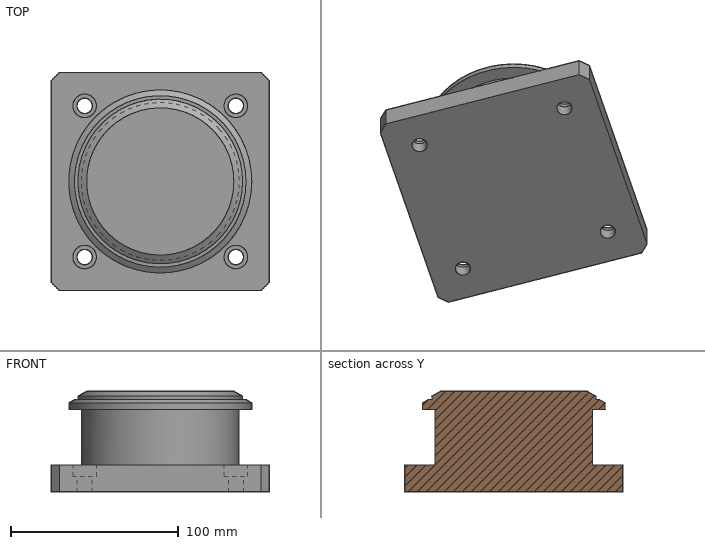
import cadquery as cq
import math

PLATE_SIDE = 130.0
PLATE_THICKNESS = 16.0
CORNER_CHAMFER = 5.0

HOLE_SPACING = 90.0
HOLE_DIAMETER = 9.0
COUNTERBORE_DIAMETER = 14.0
COUNTERBORE_DEPTH = 7.0

NECK_DIAMETER = 94.0
FLANGE_DIAMETER = 109.0
CAP_DIAMETER = 98.0
FLANGE_BOTTOM_Z = 49.0
FLANGE_TOP_Z = 55.0
CAP_TOP_Z = 60.0

BEVEL_ANGLE = math.radians(30.0)
FLANGE_BEVEL_HEIGHT = 2.0
CAP_BEVEL_HEIGHT = 3.0


def make_plate():
    """Square plate with its four vertical corners chamfered."""
    plate = cq.Workplane("XY").box(PLATE_SIDE, PLATE_SIDE, PLATE_THICKNESS, centered=(True, True, False))
    return plate.edges("|Z").chamfer(CORNER_CHAMFER)


def make_head():
    """Neck, bevelled flange and bevelled cap, revolved about the Z axis."""
    neck_radius = NECK_DIAMETER / 2
    flange_radius = FLANGE_DIAMETER / 2
    cap_radius = CAP_DIAMETER / 2
    flange_bevel_width = FLANGE_BEVEL_HEIGHT / math.tan(BEVEL_ANGLE)
    cap_bevel_width = CAP_BEVEL_HEIGHT / math.tan(BEVEL_ANGLE)
    profile = [
        (0, 0),
        (neck_radius, 0),
        (neck_radius, FLANGE_BOTTOM_Z),
        (flange_radius, FLANGE_BOTTOM_Z),
        (flange_radius, FLANGE_TOP_Z - FLANGE_BEVEL_HEIGHT),
        (flange_radius - flange_bevel_width, FLANGE_TOP_Z),
        (cap_radius, FLANGE_TOP_Z),
        (cap_radius, CAP_TOP_Z - CAP_BEVEL_HEIGHT),
        (cap_radius - cap_bevel_width, CAP_TOP_Z),
        (0, CAP_TOP_Z),
    ]
    return cq.Workplane("XZ").polyline(profile).close().revolve(360, (0, 0, 0), (0, 1, 0))


def drill_mounting_holes(plate):
    """Four through holes on a square pattern, counterbored from the plate's top face."""
    return (
        plate.faces(">Z")
        .workplane()
        .rect(HOLE_SPACING, HOLE_SPACING, forConstruction=True)
        .vertices()
        .cboreHole(HOLE_DIAMETER, COUNTERBORE_DIAMETER, COUNTERBORE_DEPTH)
    )


result = drill_mounting_holes(make_plate()).union(make_head())